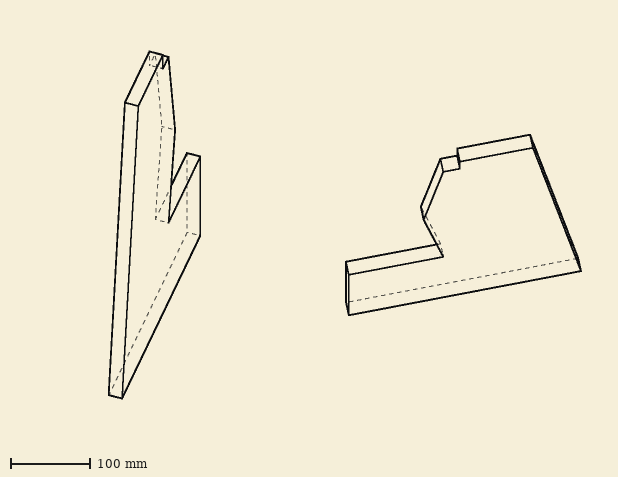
import cadquery as cq

thickness = 18.0
depth = 299.5
height = 477.5

foot_height = 146.0
upright_back = 177.5

peak_bulge = 25.5
peak_height = 292.0

front_lean = 62.0
notch_depth = 21.5
notch_height = 25.5

notch_floor = height - notch_height

profile = [
    (0, 0),
    (depth, 0),
    (depth, foot_height),
    (upright_back, foot_height),
    (upright_back + peak_bulge, peak_height),
    (upright_back, notch_floor),
    (upright_back - notch_depth, notch_floor),
    (upright_back - notch_depth, height),
    (front_lean, height),
]

result = cq.Workplane("YZ").polyline(profile).close().extrude(thickness)